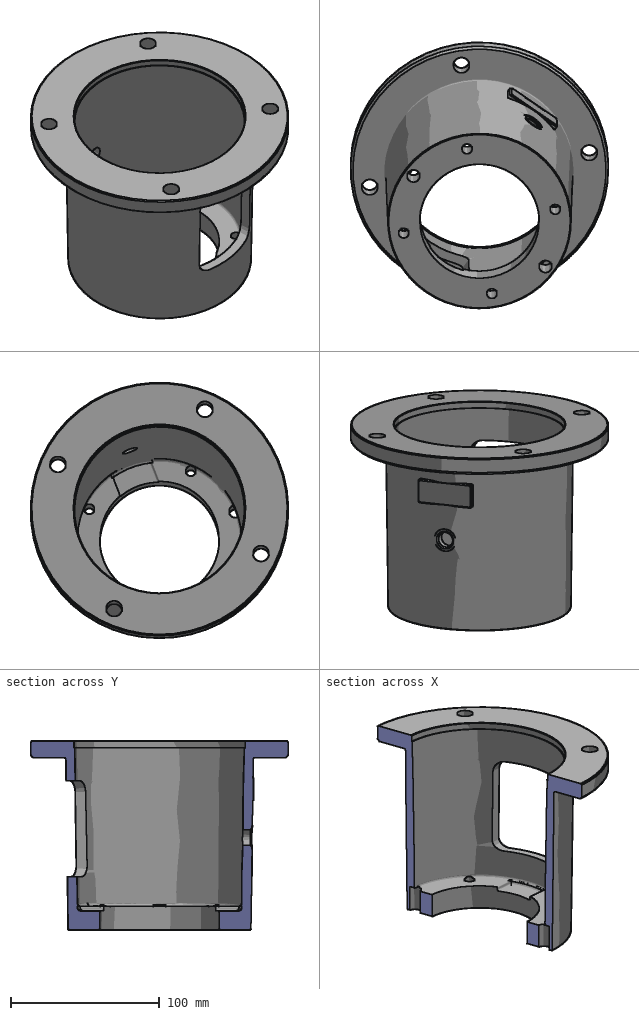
import cadquery as cq
import math

total_height = 127.0
flange_diameter = 173.0
flange_thickness = 11.4
flange_edge_chamfer = 0.8
flange_underside_edge_chamfer = 1.6

barrel_top_radius = 63.0
barrel_bottom_radius = 61.5
barrel_neck_fillet = 1.0
barrel_bottom_chamfer = 0.6

pilot_radius = 57.4
pilot_depth = 4.5
pilot_mouth_chamfer = 0.4
cavity_top_radius = 56.9
cavity_floor_radius = 55.0
floor_height = 16.0
floor_fillet = 2.2

floor_bore_diameter = 80.0
channel_width = 27.6
channel_depth = 3.0
channel_bottom_fillet = 1.3
channel_lip_round = 0.9
tapped_hole_diameter = 6.8
tapped_hole_circle_diameter = 103.0
large_hole_diameter = 8.5
large_hole_circle_diameter = 109.0
hole_overrun = 1.0
hole_height = floor_height + hole_overrun

flange_hole_diameter = 10.7
flange_hole_circle_diameter = 149.2

window_width = 53.4
window_bottom = 36.0
window_top = 100.1
window_corner_radius = 7.5

side_hole_height = 62.2
side_hole_diameter = 10.2
side_hole_chamfer = 1.0
spotface_diameter = 15.4
spotface_depth = 0.4

pad_width = 39.0
pad_height = 16.6
pad_center_height = 94.6
pad_face_distance = 63.0
pad_corner_radius = 2.0
pad_edge_chamfer = 0.9

flange_radius = flange_diameter / 2
flange_bottom = total_height - flange_thickness
pilot_floor = total_height - pilot_depth


def barrel_radius_at(height):
    """Outside radius of the tapered barrel at a height above the base."""
    taper = (barrel_top_radius - barrel_bottom_radius) / flange_bottom
    return barrel_bottom_radius + taper * height


def make_outer_body():
    """Flange and barrel turned as one solid."""
    flange = (
        cq.Workplane("XY")
        .workplane(offset=flange_bottom)
        .circle(flange_radius)
        .extrude(flange_thickness)
        .faces(">Z").edges().chamfer(flange_edge_chamfer)
        .faces("<Z").edges().chamfer(flange_underside_edge_chamfer)
    )
    barrel_profile = [
        (0, 0),
        (barrel_bottom_radius, 0),
        (barrel_top_radius, flange_bottom),
        (0, flange_bottom),
    ]
    barrel = (
        cq.Workplane("XZ")
        .polyline(barrel_profile)
        .close()
        .revolve(360, (0, 0), (0, 1))
        .faces("<Z").edges().chamfer(barrel_bottom_chamfer)
    )
    neck_margin = 0.1
    neck_reach = barrel_top_radius + neck_margin
    neck = cq.selectors.BoxSelector(
        (-neck_reach, -neck_reach, flange_bottom - neck_margin),
        (neck_reach, neck_reach, flange_bottom + neck_margin),
        boundingbox=True,
    )
    return flange.union(barrel).edges(neck).fillet(barrel_neck_fillet)


def make_pad():
    """Flat name plate pad, bedded into the barrel wall."""
    pad_root = (barrel_bottom_radius + cavity_top_radius) / 2
    return (
        cq.Workplane("YZ")
        .workplane(offset=-pad_face_distance)
        .center(0, pad_center_height)
        .rect(pad_width, pad_height)
        .extrude(pad_face_distance - pad_root)
        .edges("|X").fillet(pad_corner_radius)
        .faces("<X").edges().chamfer(pad_edge_chamfer)
    )


def make_cavity(floor):
    """Space inside the wall above a floor height: tapered cavity and pilot recess."""
    cavity_profile = [
        (0, floor),
        (cavity_floor_radius, floor),
        (cavity_top_radius, pilot_floor),
        (pilot_radius, pilot_floor),
        (pilot_radius, total_height - pilot_mouth_chamfer),
        (pilot_radius + pilot_mouth_chamfer, total_height),
        (0, total_height),
    ]
    return (
        cq.Workplane("XZ")
        .polyline(cavity_profile)
        .close()
        .revolve(360, (0, 0), (0, 1))
        .faces("<Z").edges().fillet(floor_fillet)
    )


def make_channel():
    """Shallow channel across the floor along X, with rounded bottoms and lips."""
    side = channel_width / 2
    bottom = floor_height - channel_depth
    lip = channel_lip_round
    root = channel_bottom_fillet
    strip = (
        cq.Workplane("YZ")
        .moveTo(-side - lip, floor_height)
        .radiusArc((-side, floor_height - lip), lip)
        .lineTo(-side, bottom + root)
        .radiusArc((-side + root, bottom), -root)
        .lineTo(side - root, bottom)
        .radiusArc((side, bottom + root), -root)
        .lineTo(side, floor_height - lip)
        .radiusArc((side + lip, floor_height), lip)
        .close()
        .extrude(cavity_top_radius, both=True)
    )
    return strip.intersect(make_cavity(bottom))


def make_holes(points, diameter, bottom, depth):
    """Upright round holes at the given points."""
    return (
        cq.Workplane("XY")
        .workplane(offset=bottom)
        .pushPoints(points)
        .circle(diameter / 2)
        .extrude(depth)
    )


def diagonal_points(circle_diameter):
    """Four points on a circle, on the diagonals between X and Y."""
    reach = circle_diameter / 2 * math.cos(math.radians(45))
    return [(x, y) for x in (-reach, reach) for y in (-reach, reach)]


def make_window():
    """Rounded rectangular cutter through the +X wall."""
    return (
        cq.Workplane("YZ")
        .center(0, (window_bottom + window_top) / 2)
        .rect(window_width, window_top - window_bottom)
        .extrude(flange_radius)
        .edges("|X").fillet(window_corner_radius)
    )


def make_side_hole():
    """Spotfaced and chamfered hole through the -X wall."""
    spotface_face = barrel_radius_at(side_hole_height) - spotface_depth
    hole = (
        cq.Workplane("YZ")
        .center(0, side_hole_height)
        .circle(side_hole_diameter / 2)
        .extrude(-flange_radius)
    )
    spotface = (
        cq.Workplane("YZ")
        .workplane(offset=-spotface_face)
        .center(0, side_hole_height)
        .circle(spotface_diameter / 2)
        .extrude(-(flange_radius - spotface_face))
    )
    countersink = (
        cq.Workplane("YZ")
        .workplane(offset=-spotface_face)
        .center(0, side_hole_height)
        .circle(side_hole_diameter / 2 + side_hole_chamfer)
        .workplane(offset=side_hole_chamfer)
        .circle(side_hole_diameter / 2)
        .loft()
    )
    return hole.union(spotface).union(countersink)


large_hole_reach = large_hole_circle_diameter / 2
large_hole_points = [(0, -large_hole_reach), (0, large_hole_reach)]
tapped_hole_points = diagonal_points(tapped_hole_circle_diameter)
flange_hole_points = diagonal_points(flange_hole_circle_diameter)

cutters = [
    make_cavity(floor_height),
    make_channel(),
    make_holes([(0, 0)], floor_bore_diameter, 0, floor_height),
    make_holes(tapped_hole_points, tapped_hole_diameter, 0, hole_height),
    make_holes(large_hole_points, large_hole_diameter, 0, hole_height),
    make_holes(flange_hole_points, flange_hole_diameter, flange_bottom, flange_thickness),
    make_window(),
    make_side_hole(),
]

result = make_outer_body().union(make_pad())
for cutter in cutters:
    result = result.cut(cutter)